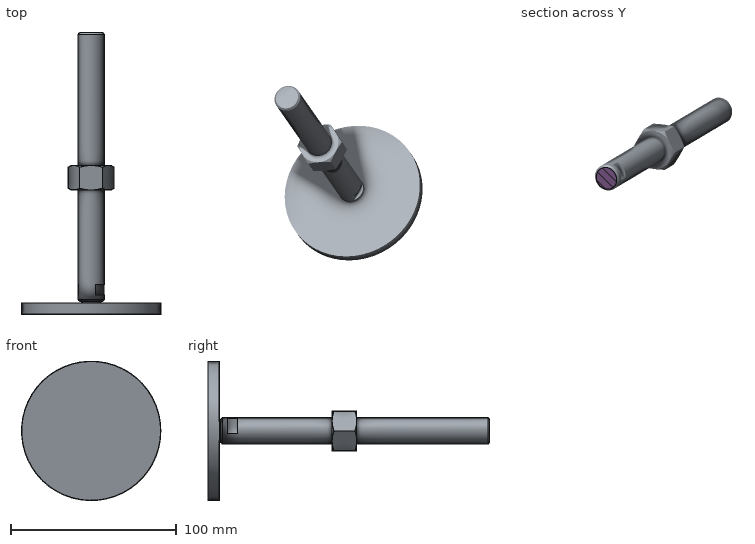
import cadquery as cq
import math


plate_diameter = 84.0
plate_thickness = 7.0

boss_base_diameter = 12.0
boss_flank_angle = 45.0

overall_length = 170.0
spindle_diameter = 16.0
spindle_start = 7.8
spindle_chamfer = 1.1

flat_spacing = 12.0
flat_start = 11.8
flat_width = 6.2
flat_tilt = 30.0

nut_across_flats = 24.0
nut_height = 14.8
nut_start = 75.0
nut_chamfer_angle = 30.0


def cylinder_along_y(diameter, start, end):
    """Solid cylinder on the Y axis between two Y positions."""
    profile = cq.Workplane("XZ", origin=(0, start, 0)).circle(diameter / 2)
    return profile.extrude(start - end)


def make_plate():
    """Round plate whose short conical boss carries the end face of the spindle."""
    disc = cylinder_along_y(plate_diameter, 0, plate_thickness)
    boss = (
        cq.Workplane("XZ", origin=(0, plate_thickness, 0))
        .circle(boss_base_diameter / 2)
        .extrude(plate_thickness - spindle_start, taper=boss_flank_angle)
    )
    return disc.union(boss)


def wrench_flat_cutters():
    """Two blocks on opposite sides of the spindle, tilted about its axis."""
    block_depth = spindle_diameter / 2
    block_offset = (flat_spacing + block_depth) / 2
    flat_middle = flat_start + flat_width / 2
    blocks = (
        cq.Workplane("XY")
        .pushPoints([(-block_offset, flat_middle), (block_offset, flat_middle)])
        .box(block_depth, flat_width, spindle_diameter)
    )
    return blocks.rotate((0, 0, 0), (0, 1, 0), -flat_tilt)


def make_spindle():
    """Chamfered rod with wrench flats near its lower end."""
    rod = cylinder_along_y(spindle_diameter, spindle_start, overall_length)
    rod = rod.faces("<Y or >Y").chamfer(spindle_chamfer)
    return rod.cut(wrench_flat_cutters())


def make_nut():
    """Hexagon nut with two flats facing +Z and -Z, its corners turned down by a cone at each end."""
    corner_radius = nut_across_flats / math.sqrt(3)
    face_radius = nut_across_flats / 2
    chamfer_height = (corner_radius - face_radius) * math.tan(math.radians(nut_chamfer_angle))
    nut_end = nut_start + nut_height

    hexagon = (
        cq.Workplane("XZ", origin=(0, nut_start, 0))
        .polygon(6, 2 * corner_radius)
        .extrude(-nut_height)
    )
    turned_blank = (
        cq.Workplane("XY")
        .moveTo(0, nut_start)
        .lineTo(face_radius, nut_start)
        .lineTo(corner_radius, nut_start + chamfer_height)
        .lineTo(corner_radius, nut_end - chamfer_height)
        .lineTo(face_radius, nut_end)
        .lineTo(0, nut_end)
        .close()
        .revolve(360, (0, 0, 0), (0, 1, 0))
    )
    bore = cylinder_along_y(spindle_diameter, nut_start, nut_end)
    return hexagon.intersect(turned_blank).cut(bore)


plate = make_plate()
spindle = make_spindle()
nut = make_nut()

result = cq.Compound.makeCompound([plate.val(), spindle.val(), nut.val()])